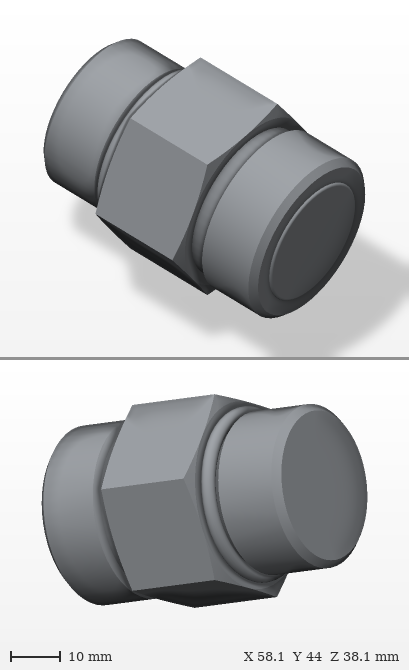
import cadquery as cq
import math


total_length = 58.1

stud_diameter = 33.3
stud_face_diameter = 30.4
stud_thread_end = 14.5
stud_relief_end = 15.4

hex_start = 18.5
hex_end = 40.2
hex_across_flats = 38.1
hex_across_corners = hex_across_flats / math.cos(math.radians(30))
hex_chamfer_angle = 15.0

neck_diameter = 33.55
port_diameter = 36.5
port_start = 43.25
port_face = 57.6
port_face_chamfer = 1.4
port_back_chamfer_angle = 30.0

ring_section_diameter = 2.9
ring_outer_diameter = 35.8
ring_inner_diameter = ring_outer_diameter - 2 * ring_section_diameter
groove_diameter = ring_inner_diameter
ring_center_x = hex_start - ring_section_diameter / 2

insert_diameter = 26.8
insert_edge_radius = 0.5
insert_depth = 2.9
insert_start = port_face - insert_depth


def revolve_about_x(profile):
    """Turn a closed profile of (x, radius) points about the X axis."""
    return cq.Workplane("XY").polyline(profile).close().revolve(360, (0, 0, 0), (1, 0, 0))


def cylinder_along_x(diameter, start, end):
    return cq.Workplane("YZ", origin=(start, 0, 0)).circle(diameter / 2).extrude(end - start)


def make_stud():
    radius = stud_diameter / 2
    face_radius = stud_face_diameter / 2
    face_chamfer = radius - face_radius
    groove_radius = groove_diameter / 2
    return revolve_about_x([
        (0, 0),
        (0, face_radius),
        (face_chamfer, radius),
        (stud_thread_end, radius),
        (stud_relief_end, groove_radius),
        (hex_start, groove_radius),
        (hex_start, 0),
    ])


def make_hexagon():
    """Hexagon with flats facing up and down, its corners turned off at both ends."""
    prism = (
        cq.Workplane("YZ", origin=(hex_start, 0, 0))
        .polygon(6, hex_across_corners)
        .extrude(hex_end - hex_start)
    )
    flat_radius = hex_across_flats / 2
    corner_radius = hex_across_corners / 2
    chamfer_length = (corner_radius - flat_radius) * math.tan(math.radians(hex_chamfer_angle))
    turned_envelope = revolve_about_x([
        (hex_start, 0),
        (hex_start, flat_radius),
        (hex_start + chamfer_length, corner_radius),
        (hex_end - chamfer_length, corner_radius),
        (hex_end, flat_radius),
        (hex_end, 0),
    ])
    return prism.intersect(turned_envelope)


def make_port():
    radius = port_diameter / 2
    neck_radius = neck_diameter / 2
    back_chamfer_length = (radius - neck_radius) * math.tan(math.radians(port_back_chamfer_angle))
    return revolve_about_x([
        (hex_end, 0),
        (hex_end, neck_radius),
        (port_start, neck_radius),
        (port_start + back_chamfer_length, radius),
        (port_face - port_face_chamfer, radius),
        (port_face, radius - port_face_chamfer),
        (port_face, 0),
    ])


def make_housing():
    insert_recess = cylinder_along_x(insert_diameter, insert_start, port_face)
    return make_stud().union(make_hexagon()).union(make_port()).cut(insert_recess)


def make_sealing_ring():
    section_center_radius = (ring_outer_diameter - ring_section_diameter) / 2
    return (
        cq.Workplane("XY")
        .center(ring_center_x, section_center_radius)
        .circle(ring_section_diameter / 2)
        .revolve(360, (0, -section_center_radius, 0), (1, -section_center_radius, 0))
    )


def make_end_insert():
    disc = cylinder_along_x(insert_diameter, insert_start, total_length)
    return disc.faces(">X").edges().fillet(insert_edge_radius)


housing = make_housing()
sealing_ring = make_sealing_ring()
end_insert = make_end_insert()

result = cq.Compound.makeCompound([housing.val(), sealing_ring.val(), end_insert.val()])